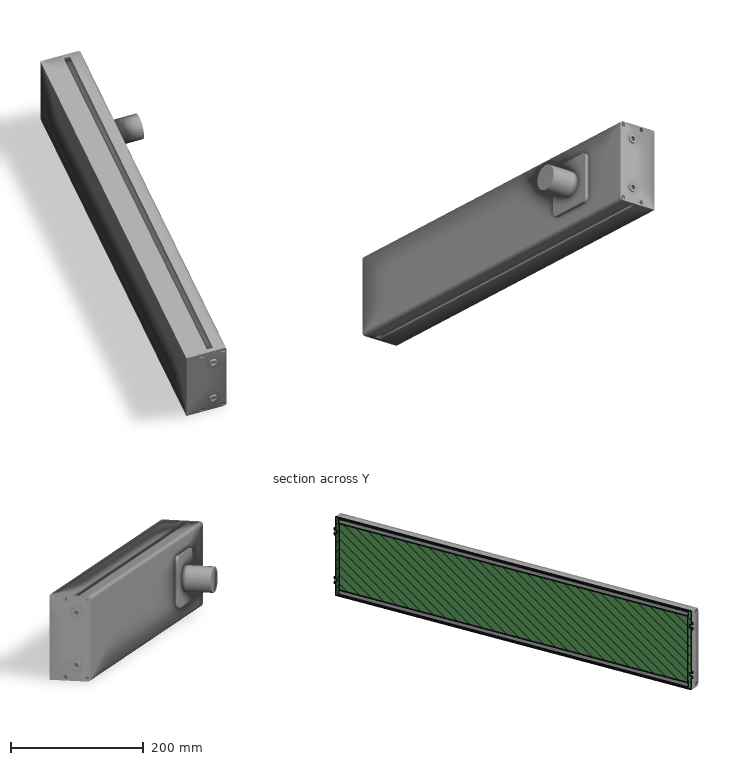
import cadquery as cq

TOTAL_LENGTH = 646.0
TOTAL_DEPTH = 115.0
LENGTH = 640.0
HEIGHT = 130.0
FRONT_DEPTH = 20.0
HOUSING_DEPTH = 44.5
BACK_EDGE_RADIUS = 5.0
CAP_THICKNESS = 6.5

GROOVE_WIDTH = 10.0
GROOVE_DEPTH = 10.0
GROOVE_LIP = 3.0
GROOVE_INNER_WIDTH = 13.5
GROOVE_SETBACK = 20.0

PLUG_HEIGHT = (TOTAL_LENGTH - LENGTH) / 2
PLUG_DIAMETER = 13.5
PLUG_SOCKET_SIZE = 8.5
PLUG_SOCKET_DEPTH = 5.0
PLUG_SPACING = 80.0
PLUG_SETBACK = 22.5
HOLE_DIAMETER = 7.0
HOLE_EDGE_DISTANCE = 5.0
HOLE_DEPTH = 2.5
INNER_HOLE_DIAMETER = 4.0
INNER_HOLE_DEPTH = 5.0

SPIGOT_DIAMETER = 40.0
SPIGOT_FROM_END = 120.0
FLANGE_SIZE = 80.0
FLANGE_THICKNESS = 5.0
FLANGE_CORNER_RADIUS = 8.0

BACK_Y = FRONT_DEPTH + HOUSING_DEPTH
HOUSING_LENGTH = LENGTH - 2 * CAP_THICKNESS


def make_front_block():
    """The plain block in front of the housing and both end caps."""
    return cq.Workplane("XY").box(LENGTH, FRONT_DEPTH, HEIGHT, centered=(True, False, True))


def make_rounded_block(length):
    """A block behind the front block, with its two long back edges rounded."""
    block = cq.Workplane("XY").box(length, HOUSING_DEPTH, HEIGHT, centered=(True, False, True))
    return block.translate((0, FRONT_DEPTH, 0)).edges("|X and >Y").fillet(BACK_EDGE_RADIUS)


def make_housing():
    """The housing between the end caps, with a T-shaped groove in its top and bottom."""
    housing = make_rounded_block(HOUSING_LENGTH)
    groove_y = FRONT_DEPTH + GROOVE_SETBACK
    wide_part_depth = GROOVE_DEPTH - GROOVE_LIP
    wide_part_z = HEIGHT / 2 - GROOVE_LIP - wide_part_depth / 2
    mouth = cq.Workplane("XY").box(HOUSING_LENGTH, GROOVE_WIDTH, 2 * GROOVE_DEPTH)
    wide_part = cq.Workplane("XY").box(HOUSING_LENGTH, GROOVE_INNER_WIDTH, wide_part_depth)
    for side in (-1, 1):
        housing = housing.cut(mouth.translate((0, groove_y, side * HEIGHT / 2)))
        housing = housing.cut(wide_part.translate((0, groove_y, side * wide_part_z)))
    return housing


def make_end_cap(side):
    """An end cap with two plugs and four stepped corner holes; side is -1 or 1 along X."""
    cap = make_rounded_block(CAP_THICKNESS)
    outer_face = cq.Workplane("YZ", origin=(CAP_THICKNESS / 2, 0, 0))

    plug_y = FRONT_DEPTH + PLUG_SETBACK
    plug_places = [(plug_y, z) for z in (-PLUG_SPACING / 2, PLUG_SPACING / 2)]
    plugs = outer_face.pushPoints(plug_places).circle(PLUG_DIAMETER / 2)
    cap = cap.union(plugs.extrude(PLUG_HEIGHT))
    plug_end = outer_face.workplane(offset=PLUG_HEIGHT).transformed(rotate=(0, 0, 90))
    plug_end = plug_end.pushPoints([(z, -y) for y, z in plug_places])
    cap = cap.cut(plug_end.polygon(6, PLUG_SOCKET_SIZE).extrude(-PLUG_SOCKET_DEPTH))

    hole_z = HEIGHT / 2 - HOLE_EDGE_DISTANCE
    hole_places = [
        (y, z)
        for y in (FRONT_DEPTH + HOLE_EDGE_DISTANCE, BACK_Y - HOLE_EDGE_DISTANCE)
        for z in (-hole_z, hole_z)
    ]
    for diameter, depth in ((HOLE_DIAMETER, HOLE_DEPTH), (INNER_HOLE_DIAMETER, INNER_HOLE_DEPTH)):
        cap = cap.cut(outer_face.pushPoints(hole_places).circle(diameter / 2).extrude(-depth))

    if side < 0:
        cap = cap.mirror("YZ")
    return cap.translate((side * (LENGTH - CAP_THICKNESS) / 2, 0, 0))


def make_spigot():
    """The round spigot and its square flange, behind the housing."""
    centre_x = SPIGOT_FROM_END - LENGTH / 2
    back_face = cq.Workplane("XZ", origin=(centre_x, BACK_Y, 0))
    flange = back_face.rect(FLANGE_SIZE, FLANGE_SIZE).extrude(-FLANGE_THICKNESS)
    flange = flange.edges("|Y").fillet(FLANGE_CORNER_RADIUS)
    return flange.union(back_face.circle(SPIGOT_DIAMETER / 2).extrude(BACK_Y - TOTAL_DEPTH))


front_block = make_front_block()
housing = make_housing()
end_caps = [make_end_cap(side) for side in (-1, 1)]
spigot = make_spigot()

result = cq.Compound.makeCompound(
    [front_block.val(), housing.val(), *[cap.val() for cap in end_caps], spigot.val()]
)